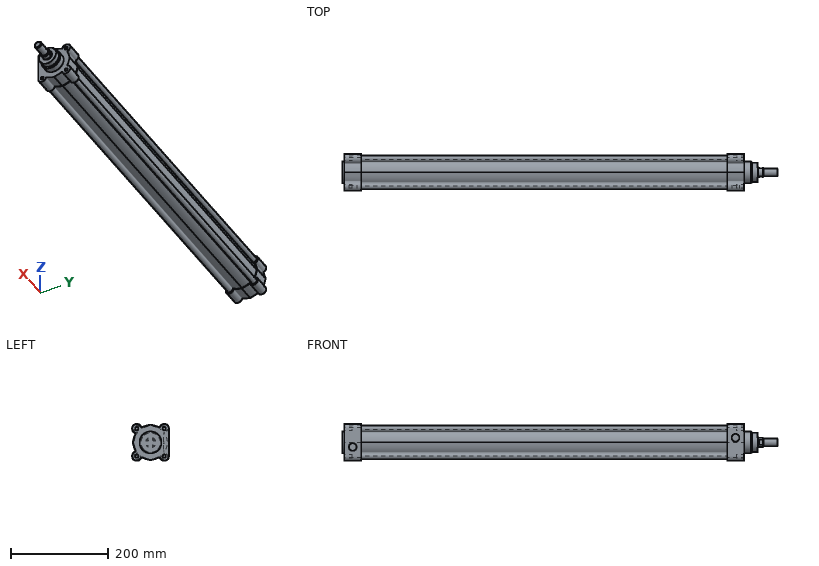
import cadquery as cq
import math


cap_length = 35.0
caps_outer_distance = 821.0
rear_spigot_length = 4.0
front_boss_length = 16.0
gland_length = 11.5
wiper_lip_length = 1.5
rod_projection = 69.0
thread_length = 29.0

rear_face_x = rear_spigot_length
front_face_x = rear_face_x + caps_outer_distance
rear_cap_end_x = rear_face_x + cap_length
front_cap_start_x = front_face_x - cap_length
front_boss_end_x = front_face_x + front_boss_length
gland_end_x = front_boss_end_x + gland_length
lip_end_x = gland_end_x + wiper_lip_length
rod_tip_x = front_face_x + rod_projection
shoulder_x = rod_tip_x - thread_length

corner_offset = 56.5 / 2
corner_centres = [(sy * corner_offset, sz * corner_offset) for sy in (-1, 1) for sz in (-1, 1)]

cap_size = 76.0
cap_half = cap_size / 2
cap_lobe_radius = cap_half - corner_offset
cap_radius = 35.5
cap_ridge_slope = 14.0
cap_valley_fillet = 1.5
boss_radius = 22.5
gland_radius = 20.0
wiper_lip_radius = 10.5
fixing_hole_radius = 3.4
fixing_hole_depth = 16.0
port_radius = 7.9
port_depth = 12.0
port_from_face = 17.8
port_offset_z = 9.5

barrel_radius = 34.0
barrel_lobe_radius = 6.5
barrel_ridge_slope = 10.4
barrel_valley_fillet = 1.0

rod_radius = 10.0
thread_radius = 8.0
thread_chamfer = 1.5
shoulder_chamfer = rod_radius - thread_radius
flats_width = 17.0
flats_length = 7.0


def cylinder(radius, start_x, end_x):
    """Cylinder on the X axis between two stations."""
    return cq.Workplane("YZ", origin=(start_x, 0, 0)).circle(radius).extrude(end_x - start_x)


def lobed_profile(start_x, end_x, radius, lobe_radius, valley_fillet, ridge_slope):
    """Round bar with four filleted corner lobes and a tangent roof-shaped ridge along each side."""
    length = end_x - start_x
    plane = cq.Workplane("YZ", origin=(start_x, 0, 0))
    lobes = plane.pushPoints(corner_centres).circle(lobe_radius).extrude(length)
    body = plane.circle(radius).extrude(length).union(lobes)

    corner_distance = math.hypot(corner_offset, corner_offset)
    along_diagonal = (corner_distance**2 + radius**2 - lobe_radius**2) / (2 * corner_distance)
    off_diagonal = math.sqrt(radius**2 - along_diagonal**2)
    diagonal_angle = math.radians(45)
    valley_angle = math.atan2(off_diagonal, along_diagonal)
    for quarter in range(4):
        for side in (-1, 1):
            angle = diagonal_angle + quarter * math.pi / 2 + side * valley_angle
            valley = ((start_x + end_x) / 2, radius * math.cos(angle), radius * math.sin(angle))
            body = body.edges(cq.selectors.NearestToPointSelector(valley)).fillet(valley_fillet)

    slope = math.radians(ridge_slope)
    foot_y = radius * math.sin(slope)
    foot_z = radius * math.cos(slope)
    ridge_top = radius / math.cos(slope)
    ridge_points = [(0, 0), (foot_y, foot_z), (0, ridge_top), (-foot_y, foot_z)]
    ridge = plane.polyline(ridge_points).close().extrude(length)
    for quarter in range(4):
        body = body.union(ridge.rotate((0, 0, 0), (1, 0, 0), 90 * quarter))
    return body


def make_cap(start_x, outer_face_x, port_z):
    """End cap with a flat port side at -Y, a port and four fixing holes in its outer face."""
    end_x = start_x + cap_length
    inward = 1 if outer_face_x == start_x else -1
    cap = lobed_profile(
        start_x, end_x, cap_radius, cap_lobe_radius, cap_valley_fillet, cap_ridge_slope
    )
    port_side = (
        cq.Workplane("YZ", origin=(start_x, 0, 0))
        .rect(cap_half, 2 * corner_offset)
        .extrude(cap_length)
        .translate((0, -cap_half / 2, 0))
    )
    fixing_holes = (
        cq.Workplane("YZ", origin=(outer_face_x, 0, 0))
        .pushPoints(corner_centres)
        .circle(fixing_hole_radius)
        .extrude(inward * fixing_hole_depth)
    )
    port = (
        cq.Workplane("XZ", origin=(outer_face_x + inward * port_from_face, -cap_half, port_z))
        .circle(port_radius)
        .extrude(-port_depth)
    )
    return cap.union(port_side).cut(fixing_holes).cut(port)


def make_rear_cap():
    spigot = cylinder(boss_radius, 0, rear_face_x)
    return make_cap(rear_face_x, rear_face_x, -port_offset_z).union(spigot)


def make_front_cap():
    boss = cylinder(boss_radius, front_face_x, front_boss_end_x)
    boss = boss.faces(">X").chamfer(boss_radius - gland_radius)
    gland = cylinder(gland_radius, front_boss_end_x, gland_end_x)
    wiper_lip = cylinder(wiper_lip_radius, gland_end_x, lip_end_x)
    cap = make_cap(front_cap_start_x, front_face_x, port_offset_z)
    return cap.union(boss).union(gland).union(wiper_lip)


def make_barrel():
    return lobed_profile(
        rear_cap_end_x,
        front_cap_start_x,
        barrel_radius,
        barrel_lobe_radius,
        barrel_valley_fillet,
        barrel_ridge_slope,
    )


def make_rod():
    """Rod end standing out of the gland, with two wrench flats, a chamfered shoulder and a plain thread."""
    shank = cylinder(rod_radius, lip_end_x, shoulder_x)
    shank = shank.faces(">X").chamfer(shoulder_chamfer)
    flats_x = shoulder_x - shoulder_chamfer - flats_length / 2
    for side in (-1, 1):
        cutter_y = side * (flats_width / 2 + rod_radius / 2)
        cutter = cq.Workplane(origin=(flats_x, cutter_y, 0)).box(
            flats_length, rod_radius, 2 * rod_radius
        )
        shank = shank.cut(cutter)
    thread = cylinder(thread_radius, shoulder_x, rod_tip_x).faces(">X").chamfer(thread_chamfer)
    return shank.union(thread)


rear_cap = make_rear_cap()
barrel = make_barrel()
front_cap = make_front_cap()
rod = make_rod()

result = cq.Compound.makeCompound([rear_cap.val(), barrel.val(), front_cap.val(), rod.val()])